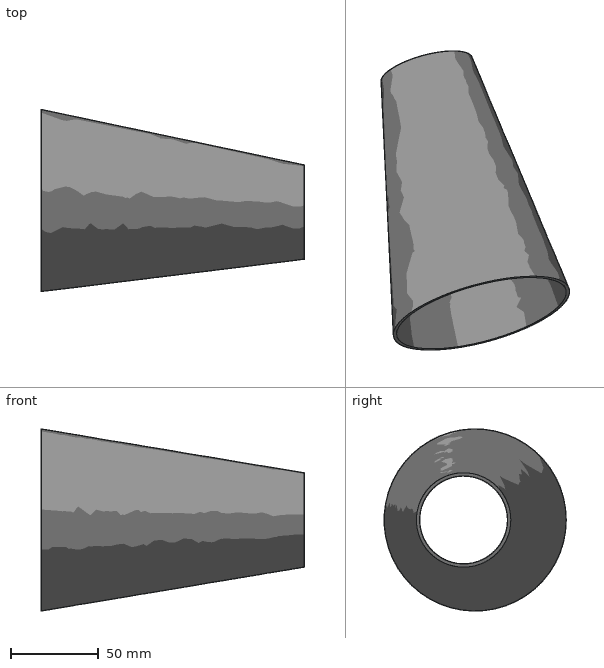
import cadquery as cq

length = 150.0
large_bore = 100.0
small_bore = 50.0
wall = 2.0
small_end_shift = -6.6


def skewed_cone(large_diameter, small_diameter):
    """Solid lofted between the large circle at X = 0 and the shifted small one."""
    return (
        cq.Workplane("YZ")
        .circle(large_diameter / 2)
        .workplane(offset=length)
        .center(small_end_shift, 0)
        .circle(small_diameter / 2)
        .loft(ruled=True)
    )


outer_body = skewed_cone(large_bore + 2 * wall, small_bore + 2 * wall)
inner_passage = skewed_cone(large_bore, small_bore)

result = outer_body.cut(inner_passage)